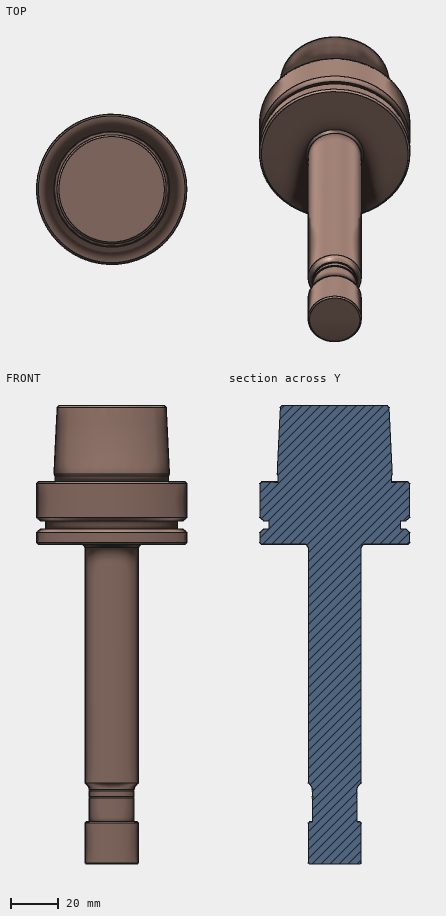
import cadquery as cq

total_height = 191.9
flange_bottom = 133.8
flange_top = 160.0
taper_bottom = 163.3
collar_groove_top = 162.3
shank_end = 34.0
head_top = 17.8
ring_heights = (28.0, 30.9)

flange_radius = 31.5
groove_radius = 27.6
groove_lip_radius = 29.7
shank_radius = 11.1
neck_radius = 9.4
taper_top_radius = 22.8
taper_bottom_radius = 24.2
collar_radius = 23.8
face_recess_radius = 26.5

groove_floor_bottom = 140.3
groove_floor_top = 143.5
groove_slope_height = 1.5

flange_chamfer = 0.8
small_chamfer = 0.5
taper_chamfer = 0.8
neck_fillet = 2.9
root_flare = 1.0
root_flare_height = 1.3
face_recess_depth = 0.4
ring_width = 0.5
ring_depth = 0.2


def revolve_profile(points):
    """Revolve a closed (radius, height) outline about the Z axis."""
    outline = cq.Workplane("XZ").polyline(points).close()
    return outline.revolve(360, (0, 0, 0), (0, 1, 0))


def make_arbor():
    """Cylindrical shank, relieved neck and end head."""
    shoulder_height = shank_radius - neck_radius
    arbor = revolve_profile([
        (0, 0),
        (shank_radius - small_chamfer, 0),
        (shank_radius, small_chamfer),
        (shank_radius, head_top - small_chamfer),
        (shank_radius - small_chamfer, head_top),
        (neck_radius, head_top),
        (neck_radius, shank_end - shoulder_height),
        (shank_radius, shank_end),
        (shank_radius, flange_bottom - root_flare_height),
        (shank_radius + root_flare, flange_bottom),
        (shank_radius + root_flare, flange_top - face_recess_depth),
        (0, flange_top - face_recess_depth),
    ])
    shoulder_root = cq.selectors.NearestToPointSelector((0, 0, shank_end - shoulder_height))
    return arbor.edges("%CIRCLE").edges(shoulder_root).fillet(neck_fillet)


def make_flange():
    """Chamfered flange with a gripping groove and a recess around the taper root."""
    return revolve_profile([
        (0, flange_bottom),
        (flange_radius - flange_chamfer, flange_bottom),
        (flange_radius, flange_bottom + flange_chamfer),
        (flange_radius, groove_floor_bottom - groove_slope_height),
        (groove_lip_radius, groove_floor_bottom),
        (groove_radius, groove_floor_bottom),
        (groove_radius, groove_floor_top),
        (groove_lip_radius, groove_floor_top),
        (flange_radius, groove_floor_top + groove_slope_height),
        (flange_radius, flange_top - flange_chamfer),
        (flange_radius - flange_chamfer, flange_top),
        (face_recess_radius, flange_top),
        (collar_radius, flange_top - face_recess_depth),
        (0, flange_top - face_recess_depth),
    ])


def make_taper():
    """Taper with a chamfered top, standing on a slightly relieved collar."""
    return revolve_profile([
        (0, flange_bottom),
        (collar_radius, flange_bottom),
        (collar_radius, collar_groove_top),
        (taper_bottom_radius, taper_bottom),
        (taper_top_radius, total_height - taper_chamfer),
        (taper_top_radius - taper_chamfer, total_height),
        (0, total_height),
    ])


def make_ring_groove(height):
    """Ring of material to remove for a fine marking groove on the neck."""
    ring = cq.Workplane("XY", origin=(0, 0, height - ring_width / 2))
    return ring.circle(shank_radius).circle(neck_radius - ring_depth).extrude(ring_width)


result = make_flange().union(make_taper()).union(make_arbor())
for ring_height in ring_heights:
    result = result.cut(make_ring_groove(ring_height))